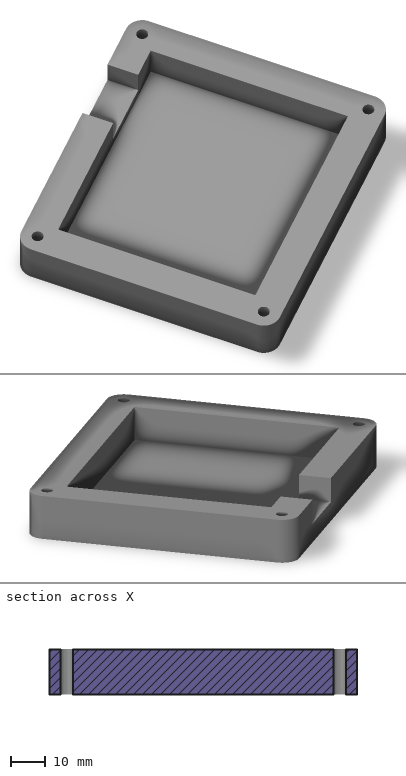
import cadquery as cq

width = 79.95
length = 88.0
height = 13.0
corner_radius = 5.0

wall = 9.5
pocket_depth = 10.0
pocket_width = width - 2 * wall
pocket_length = length - 2 * wall

notch_length = 18.65
notch_depth = 7.3
notch_end_offset = 9.3
notch_center_y = pocket_length / 2 - notch_end_offset - notch_length / 2

hole_diameter = 3.4
hole_spacing_x = width - 2 * corner_radius
hole_spacing_y = length - 2 * corner_radius

plate = cq.Workplane("XY").box(width, length, height, centered=(True, True, False))
plate = plate.edges("|Z").fillet(corner_radius)

pocket = (
    cq.Workplane("XY", origin=(0, 0, height - pocket_depth))
    .rect(pocket_width, pocket_length)
    .extrude(pocket_depth)
)

notch = (
    cq.Workplane("XY", origin=(-(width - wall) / 2, notch_center_y, height - notch_depth))
    .rect(wall, notch_length)
    .extrude(notch_depth)
)

holes = (
    cq.Workplane("XY")
    .rect(hole_spacing_x, hole_spacing_y, forConstruction=True)
    .vertices()
    .circle(hole_diameter / 2)
    .extrude(height)
)

result = plate.cut(pocket).cut(notch).cut(holes)